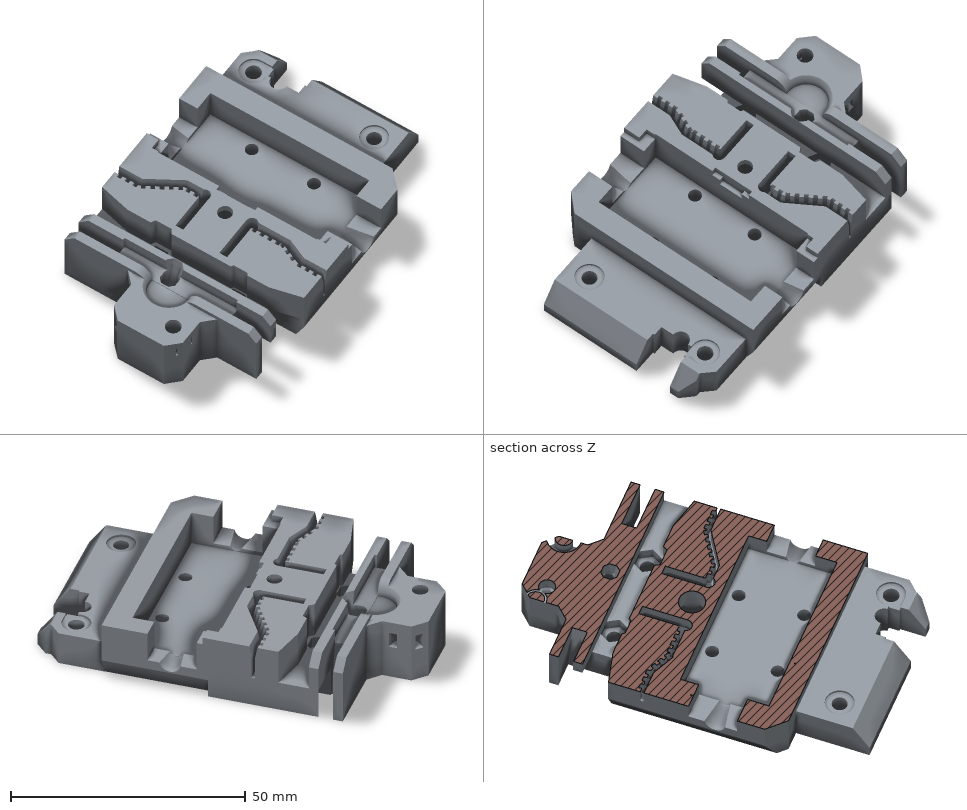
import cadquery as cq
import math

WIDTH = 52.0
LENGTH = 83.1
BLOCK_TOP = 15.0
RAIL_WALL_TOP = 13.4
STEP_FLOOR = 7.0
TAB_TOP = 7.7
BRACKET_TOP = 14.05
GAP_FLOOR = 11.8
CORE_X = (8.55, 43.45)
BODY_BACK = 66.3
BLOCK_BACK = 43.6
BLOCK_FRONT = 24.7
WING_FRONT = 26.6
WING_RUN = 7.8
BACK_CORNER = 4.0

LEFT_RELIEF_FRONT = 42.4
RELIEF_WIDTH = 2.1
RELIEF_HEIGHT = 4.2

HOLLOW_BACK = BLOCK_FRONT
HOLLOW_TOP = 5.15

POCKET_X = (4.7, 45.7)
POCKET_Y = (40.8, 60.9)
POCKET_FLOOR = 5.5
SIDE_NOTCH_Y = (44.95, 56.0)
SIDE_NOTCH_FLOOR = 6.5
GROOVE_Y = 50.9
GROOVE_RADIUS = 2.4
GROOVE_TAPER = 1 / 6
RAIL_HOLES_X = (17.2, 33.2)
RAIL_HOLES_Y = (43.3, 58.25)
RAIL_HOLE_DIAMETER = 3.0

PLATE_LENGTH = 49.4
REAR_PLATE_Y = (17.6, 19.8)
FRONT_PLATE_Y = (12.1, 14.3)
PLATE_LEFT_CHAMFER = 2.6
PLATE_RIGHT_CHAMFER = 2.1
BRIDGE_FOOT_LEFT = 9.05
BRIDGE_TOP_X = (11.5, 40.6)
TROUGH_BACK = 18.2

SCREW_DIAMETER = 3.4
NUT_HOLES_X = (16.45, 36.6)
NUT_Y = 22.2
NUT_CORNERS = 6.4
NUT_DEPTH = 2.5
NUT_ACCESS_APOTHEMS = (3.6, 3.1)

BELT_FLARE = 0.54
BELT_FLARE_BOTTOM = 12.2
BELT_THICKNESS = 0.75
TOOTH_DEPTH = 0.75
TOOTH_WIDTH = 1.0
TOOTH_PITCH = 2.0

BOWL_X = 26.0
BOWL_Y = 13.55
BOWL_RADIUS = 4.8
BOWL_ROUND = 3.1
BOWL_FLOOR = 11.6


def box(x, y, z):
    """Box between the given (low, high) limits on each axis."""
    return cq.Workplane("XY").box(
        x[1] - x[0], y[1] - y[0], z[1] - z[0], centered=False
    ).translate((x[0], y[0], z[0]))


def prism(points, z_low, z_high):
    """Vertical prism over a closed outline."""
    return cq.Workplane("XY").workplane(offset=z_low).polyline(points).close().extrude(z_high - z_low)


def cylinder(x, y, diameter, z_low, z_high):
    return cq.Workplane("XY").workplane(offset=z_low).center(x, y).circle(diameter / 2).extrude(z_high - z_low)


def tapered(low_points, z_low, high_points, z_high):
    """Solid between two outlines with matching corners at two heights."""
    lower = cq.Workplane("XY").workplane(offset=z_low).polyline(low_points).close()
    return lower.workplane(offset=z_high - z_low).polyline(high_points).close().loft(ruled=True)


def hexagon(x, y, apothem):
    """Corners of a hexagon with two corners on the X direction."""
    radius = apothem / math.cos(math.pi / 6)
    angles = [math.radians(60 * i) for i in range(6)]
    return [(x + radius * math.cos(a), y + radius * math.sin(a)) for a in angles]


def mounting_tab():
    slope_front, slope_foot = 79.3, 2.6
    notch_side, notch_neck, notch_floor = (9.55, 18.5), (10.05, 18.1), 74.9
    neck_back = 77.3
    cable_x, cable_diameter = 13.0, 4.0
    outline = [
        (2.0, BODY_BACK), (2.0, 76.6), (4.6, 79.1), (4.6, 80.35), (7.3, LENGTH),
        (CORE_X[1], LENGTH), (CORE_X[1], BODY_BACK),
    ]
    tab = prism(outline, 0, TAB_TOP)
    slope = (
        cq.Workplane("YZ")
        .polyline([(slope_front, TAB_TOP), (LENGTH, TAB_TOP), (LENGTH, slope_foot)])
        .close()
        .extrude(WIDTH)
    )
    tab = tab.cut(slope)
    tab = tab.cut(box(notch_side, (neck_back, LENGTH), (0, TAB_TOP)))
    tab = tab.cut(box(notch_neck, (notch_floor, neck_back), (0, TAB_TOP)))
    tab = tab.cut(cylinder(cable_x, notch_floor, cable_diameter, 0, TAB_TOP))

    left_hole_x, right_hole_x, hole_y = 6.9, 38.0, 74.2
    left_diameter, head_diameter, head_depth = 3.6, 6.4, 0.5
    head_floor = TAB_TOP - head_depth
    for hole_x, diameter in ((left_hole_x, left_diameter), (right_hole_x, SCREW_DIAMETER)):
        tab = tab.cut(cylinder(hole_x, hole_y, diameter, 0, TAB_TOP))
        tab = tab.cut(cylinder(hole_x, hole_y, head_diameter, head_floor, TAB_TOP))
    head_back = hole_y + head_diameter / 2
    return tab.cut(box((left_hole_x, notch_neck[0]), (hole_y, head_back), (head_floor, TAB_TOP)))


def main_body():
    wing_left, wing_right = WING_RUN, WIDTH - WING_RUN
    rear = [
        (0, BLOCK_BACK), (0, BODY_BACK), (WIDTH - BACK_CORNER, BODY_BACK),
        (WIDTH, BODY_BACK - BACK_CORNER), (WIDTH, BLOCK_BACK),
    ]
    base = [
        (0, REAR_PLATE_Y[0]), (0, BLOCK_BACK), (WIDTH, BLOCK_BACK), (WIDTH, WING_FRONT),
        (CORE_X[1], WING_FRONT), (CORE_X[1], REAR_PLATE_Y[0]), (CORE_X[0], REAR_PLATE_Y[0]),
        (CORE_X[0], HOLLOW_BACK),
    ]
    belt_block = [
        (0, WING_FRONT), (0, BLOCK_BACK), (WIDTH, BLOCK_BACK), (WIDTH, WING_FRONT),
        (wing_right, BLOCK_FRONT), (wing_left, BLOCK_FRONT),
    ]
    body = prism(rear, 0, RAIL_WALL_TOP)
    body = body.union(prism(base, 0, STEP_FLOOR))
    body = body.union(box((0, CORE_X[0]), (REAR_PLATE_Y[1], WING_FRONT), (HOLLOW_TOP, STEP_FLOOR)))
    body = body.union(prism(belt_block, STEP_FLOOR, BLOCK_TOP))
    for edge, inward, front in ((0, 1, LEFT_RELIEF_FRONT), (WIDTH, -1, WING_FRONT)):
        relief = (
            cq.Workplane("XZ", origin=(0, BODY_BACK, 0))
            .polyline([(edge, 0), (edge + inward * RELIEF_WIDTH, 0), (edge, RELIEF_HEIGHT)])
            .close()
            .extrude(BODY_BACK - front)
        )
        body = body.cut(relief)
    return body


def rail_pocket():
    """Pocket for the rail carriage with its side notches, grooves and holes."""
    ledge_x, ledge_front = (3.1, 47.95), 41.05
    cuts = box(POCKET_X, POCKET_Y, (POCKET_FLOOR, BLOCK_TOP))
    cuts = cuts.union(box((0, WIDTH), SIDE_NOTCH_Y, (SIDE_NOTCH_FLOOR, BLOCK_TOP)))
    cuts = cuts.union(box(ledge_x, (ledge_front, SIDE_NOTCH_Y[0]), (RAIL_WALL_TOP, BLOCK_TOP)))

    notch_back, middle_depth = 39.7, 1.7
    cuts = cuts.union(box((20.6, 30.5), (notch_back, POCKET_Y[0]), (RAIL_WALL_TOP, BLOCK_TOP)))
    middle_floor = RAIL_WALL_TOP - middle_depth
    cuts = cuts.union(box((22.6, 28.4), (notch_back, POCKET_Y[0]), (middle_floor, BLOCK_TOP)))

    for side, length, inward in ((0, POCKET_X[0], 1), (WIDTH, WIDTH - POCKET_X[1], -1)):
        cone = cq.Solid.makeCone(
            GROOVE_RADIUS,
            GROOVE_RADIUS - GROOVE_TAPER * length,
            length,
            pnt=cq.Vector(side, GROOVE_Y, STEP_FLOOR),
            dir=cq.Vector(inward, 0, 0),
        )
        cuts = cuts.union(cq.Workplane(cone))
    for x in RAIL_HOLES_X:
        for y in RAIL_HOLES_Y:
            cuts = cuts.union(cylinder(x, y, RAIL_HOLE_DIAMETER, 0, BLOCK_TOP))
    return cuts


def strip(start, end, near, far):
    """Rectangle beside a segment, between two distances to its right-hand side."""
    length = math.dist(start, end)
    normal_x = (end[1] - start[1]) / length
    normal_y = -(end[0] - start[0]) / length
    corners = ((start, near), (end, near), (end, far), (start, far))
    return [(p[0] + normal_x * d, p[1] + normal_y * d) for p, d in corners]


def band(path, near, far):
    """Closed outline following a path running along +X, between two offsets below it."""
    segments = list(zip(path, path[1:]))
    slopes = [math.atan2(b[1] - a[1], b[0] - a[0]) for a, b in segments]
    ends = [slopes[0]] + slopes, slopes + [slopes[-1]]

    def shifted(distance):
        points = []
        for (x, y), before, after in zip(path, *ends):
            bisector = (before + after) / 2
            reach = distance / math.cos((after - before) / 2)
            points.append((x + reach * math.sin(bisector), y - reach * math.cos(bisector)))
        return points

    return shifted(near) + shifted(far)[::-1]


def belt_channel(path, teeth):
    """Flared belt slot along a path; teeth gives each segment's first tooth and tooth count."""
    near = BELT_FLARE
    far = near + BELT_THICKNESS
    slot = band(path, near, far)
    flare = band(path, near - BELT_FLARE, far + BELT_FLARE)
    cuts = prism(slot, STEP_FLOOR, BLOCK_TOP)
    cuts = cuts.union(tapered(slot, BELT_FLARE_BOTTOM, flare, BLOCK_TOP))
    for start, end, (first, count) in zip(path, path[1:], teeth):
        length = math.dist(start, end)
        direction = ((end[0] - start[0]) / length, (end[1] - start[1]) / length)
        for i in range(count):
            ahead = first + i * TOOTH_PITCH - TOOTH_WIDTH / 2
            corner = tuple(p + d * ahead for p, d in zip(start, direction))
            opposite = tuple(p + d * TOOTH_WIDTH for p, d in zip(corner, direction))
            tooth = strip(corner, opposite, near, far + TOOTH_DEPTH)
            tooth_flare = strip(corner, opposite, near, far + TOOTH_DEPTH + BELT_FLARE)
            cuts = cuts.union(prism(tooth, STEP_FLOOR, BLOCK_TOP))
            cuts = cuts.union(tapered(tooth, BELT_FLARE_BOTTOM, tooth_flare, BLOCK_TOP))
    return cuts


def belt_slots():
    """Both toothed belt channels, each with its straight tail and round bend."""
    cuts = belt_channel(
        [(0, 33.15), (5.9, 33.15), (14.1, 38.2), (19.1, 38.2)],
        [(1.6, 3), (0.3, 5), (1.7, 2)],
    )
    cuts = cuts.union(
        belt_channel(
            [(32.4, 37.5), (41.2, 37.5), (46.2, 35.2), (WIDTH, 35.2)],
            [(0.9, 4), (0.25, 3), (0.25, 3)],
        )
    )
    bend_diameter = 2.75
    tails = (
        ((18.6, 20.6), (27.0, 37.1), 19.3),
        ((30.4, 32.4), (26.25, 36.65), 31.8),
    )
    for tail_x, tail_y, bend_x in tails:
        cuts = cuts.union(box(tail_x, tail_y, (STEP_FLOOR, BLOCK_TOP)))
        cuts = cuts.union(cylinder(bend_x, tail_y[1], bend_diameter, STEP_FLOOR, BLOCK_TOP))
    return cuts


def center_screw():
    """Screw hole in the belt block, with the head seat entered from below."""
    x, y, head_diameter, head_seat = 25.5, 35.7, 5.7, RAIL_WALL_TOP
    hole = cylinder(x, y, SCREW_DIAMETER, 0, BLOCK_TOP)
    return hole.union(cylinder(x, y, head_diameter, 0, head_seat))


def nut_traps():
    """Screw holes with sunk hexagonal nut seats and wider access above the step."""
    cuts = cq.Workplane("XY")
    for x, access in zip(NUT_HOLES_X, NUT_ACCESS_APOTHEMS):
        nut = hexagon(x, NUT_Y, NUT_CORNERS / 2 * math.cos(math.pi / 6))
        cuts = cuts.union(cylinder(x, NUT_Y, SCREW_DIAMETER, 0, STEP_FLOOR))
        cuts = cuts.union(prism(nut, STEP_FLOOR - NUT_DEPTH, STEP_FLOOR))
        opening = prism(hexagon(x, NUT_Y, access), STEP_FLOOR, BLOCK_TOP)
        rear_half = box((0, WIDTH), (NUT_Y, BLOCK_BACK), (STEP_FLOOR, BLOCK_TOP))
        cuts = cuts.union(opening.intersect(rear_half))
    return cuts


def front_plate(y_range, z_low):
    profile = [
        (0, z_low), (PLATE_LENGTH, z_low), (PLATE_LENGTH, BLOCK_TOP - PLATE_RIGHT_CHAMFER),
        (PLATE_LENGTH - PLATE_RIGHT_CHAMFER, BLOCK_TOP), (PLATE_LEFT_CHAMFER, BLOCK_TOP),
        (0, BLOCK_TOP - PLATE_LEFT_CHAMFER),
    ]
    plane = cq.Workplane("XZ", origin=(0, y_range[1], 0))
    return plane.polyline(profile).close().extrude(y_range[1] - y_range[0])


def plate_bridge():
    """Block joining the two plates, with sloping ends."""
    profile = [
        (BRIDGE_FOOT_LEFT, 0), (CORE_X[1], 0), (BRIDGE_TOP_X[1], GAP_FLOOR), (BRIDGE_TOP_X[0], GAP_FLOOR),
    ]
    plane = cq.Workplane("XZ", origin=(0, REAR_PLATE_Y[0], 0))
    return plane.polyline(profile).close().extrude(REAR_PLATE_Y[0] - FRONT_PLATE_Y[1])


def bracket():
    """Nose in front of the plates with its corner tie passages and blind hole."""
    left, right, corner, neck_y = 19.0, 36.7, 2.9, 9.5
    plate_y = FRONT_PLATE_Y[0]
    flare = plate_y - neck_y
    outline = [
        (left - flare, plate_y), (left, neck_y), (left, corner), (left + corner, 0),
        (right - corner, 0), (right, corner), (right, neck_y), (right + flare, plate_y),
    ]
    nose = prism(outline, 0, BRACKET_TOP)
    passage_y, inset, inner_radius = 4.15, 0.2, 2.0
    for x, outer_radius, z_range in ((left + inset, 3.7, (7.7, 11.3)), (right - inset, 2.4, (9.8, 12.2))):
        ring = cylinder(x, passage_y, 2 * outer_radius, *z_range)
        nose = nose.cut(ring.cut(cylinder(x, passage_y, 2 * inner_radius, *z_range)))
    hole_x, hole_y, hole_diameter, hole_depth = 32.65, 5.3, 3.6, 6.65
    return nose.cut(cylinder(hole_x, hole_y, hole_diameter, BRACKET_TOP - hole_depth, BRACKET_TOP))


def bowl():
    """Round pocket whose wall rolls outward to the top of the front plate."""
    rim = BOWL_RADIUS + BOWL_ROUND
    roll = BOWL_ROUND * math.sqrt(0.5)
    round_start = BLOCK_TOP - BOWL_ROUND
    profile = (
        cq.Workplane("XZ")
        .moveTo(0, BOWL_FLOOR)
        .lineTo(BOWL_RADIUS, BOWL_FLOOR)
        .lineTo(BOWL_RADIUS, round_start)
        .threePointArc((rim - roll, round_start + roll), (rim, BLOCK_TOP))
        .lineTo(0, BLOCK_TOP)
        .close()
    )
    turned = profile.revolve(360, (0, 0, 0), (0, 1, 0)).translate((BOWL_X, BOWL_Y, 0))
    return turned.intersect(box((0, WIDTH), (0, FRONT_PLATE_Y[1]), (0, BLOCK_TOP)))


def octagon(x, y, corner):
    """Corners of the rectangle x by y with its corners cut off."""
    return [
        (x[0] + corner, y[0]), (x[1] - corner, y[0]), (x[1], y[0] + corner), (x[1], y[1] - corner),
        (x[1] - corner, y[1]), (x[0] + corner, y[1]), (x[0], y[1] - corner), (x[0], y[0] + corner),
    ]


def filament_entry():
    """Narrowing eight-sided funnel in the bridge and rear plate, with a through hole."""
    funnel_floor = STEP_FLOOR
    hole_x, hole_y, hole_diameter = 23.7, 16.0, 2.6
    funnel = tapered(
        octagon((22.35, 25.6), (14.7, 17.45), 0.8),
        funnel_floor,
        octagon((22.0, 26.4), (14.7, 19.7), 1.2),
        BLOCK_TOP,
    )
    return funnel.union(cylinder(hole_x, hole_y, hole_diameter, 0, funnel_floor))


result = main_body().union(mounting_tab())
result = result.cut(rail_pocket()).cut(belt_slots()).cut(center_screw())
result = result.union(front_plate(REAR_PLATE_Y, STEP_FLOOR)).union(front_plate(FRONT_PLATE_Y, 0))
result = result.union(plate_bridge()).union(bracket())
result = result.cut(nut_traps()).cut(bowl())
result = result.cut(box(BRIDGE_TOP_X, (FRONT_PLATE_Y[1], TROUGH_BACK), (GAP_FLOOR, BLOCK_TOP)))
result = result.cut(filament_entry())